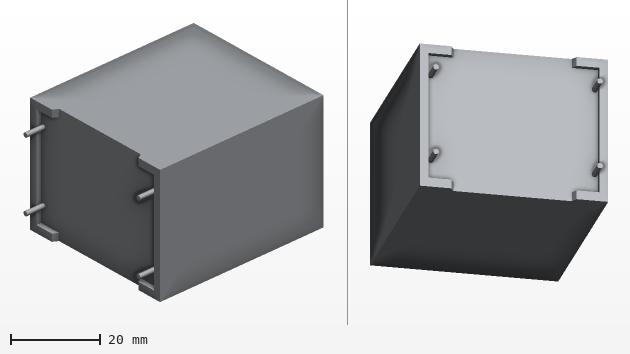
import cadquery as cq


total_length = 53.0
housing_width = 43.0
housing_height = 34.0
pin_reach = 4.0
housing_length = total_length - pin_reach

rim_depth = 1.45
side_wall = 2.0
top_wall = 2.1
gap_width_at_floor = 27.05
gap_width_at_rim = 28.6

pin_diameter = 1.25
pin_pitch_x = 37.4
pin_pitch_z = 20.25
pin_length = pin_reach + rim_depth


def centered_box(width, length, height):
    """Box centred in X and Z that runs from the rim plane towards +Y."""
    return cq.Workplane("XY").box(width, length, height, centered=(True, False, True))


def make_block():
    """Plain outer block of the housing."""
    return centered_box(housing_width, housing_length, housing_height)


def make_recess():
    """Rectangular recess that leaves the rim standing around the pin face."""
    recess_width = housing_width - 2 * side_wall
    recess_height = housing_height - 2 * top_wall
    return centered_box(recess_width, rim_depth, recess_height)


def make_rim_gap():
    """Flared gap through the top and bottom walls of the rim, down to the recess floor."""
    half_floor = gap_width_at_floor / 2
    half_rim = gap_width_at_rim / 2
    outline = [(-half_rim, 0), (half_rim, 0), (half_floor, rim_depth), (-half_floor, rim_depth)]
    return cq.Workplane("XY").polyline(outline).close().extrude(housing_height / 2, both=True)


def make_pin(x, z):
    """Round pin standing on the recess floor and pointing to -Y."""
    floor_plane = cq.Plane(origin=(x, rim_depth, z), xDir=(1, 0, 0), normal=(0, -1, 0))
    return cq.Workplane(floor_plane).circle(pin_diameter / 2).extrude(pin_length)


def make_housing(integral_pin):
    """Housing with its recessed pin face; one pin is formed in one piece with it."""
    return make_block().cut(make_recess()).cut(make_rim_gap()).union(integral_pin)


pin_places = [
    (side_x * pin_pitch_x / 2, side_z * pin_pitch_z / 2)
    for side_x in (-1, 1)
    for side_z in (-1, 1)
]
integral_place, *separate_places = pin_places

housing = make_housing(make_pin(*integral_place))
pins = [make_pin(x, z) for x, z in separate_places]

result = cq.Compound.makeCompound([housing.val(), *[pin.val() for pin in pins]])